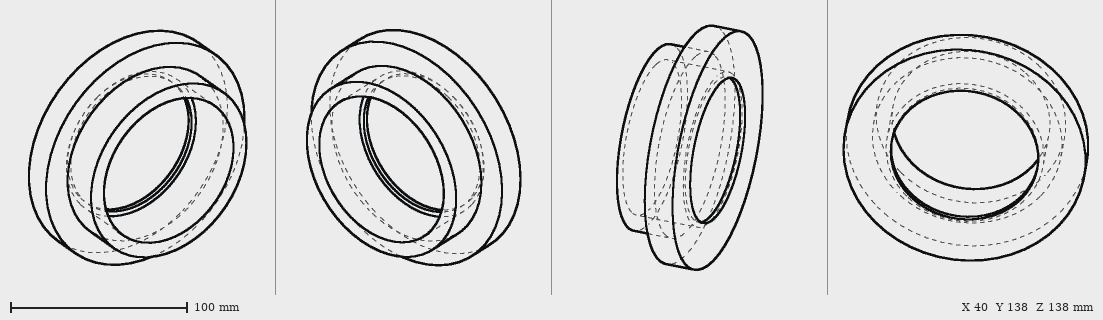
import cadquery as cq

flange_diameter = 138.0
flange_thickness = 17.0
total_length = 40.0
hub_diameter = 108.0

lip_diameter = 84.0
lip_thickness = 3.0
bore_diameter = 90.0


def cylinder_along_x(diameter, start, end):
    """Solid cylinder on the X axis between two X positions."""
    return cq.Workplane("YZ", origin=(start, 0, 0)).circle(diameter / 2).extrude(end - start)


flange = cylinder_along_x(flange_diameter, 0, flange_thickness)
hub = cylinder_along_x(hub_diameter, 0, total_length)
lip_opening = cylinder_along_x(lip_diameter, 0, total_length)
bore = cylinder_along_x(bore_diameter, lip_thickness, total_length)

result = flange.union(hub).cut(lip_opening).cut(bore)